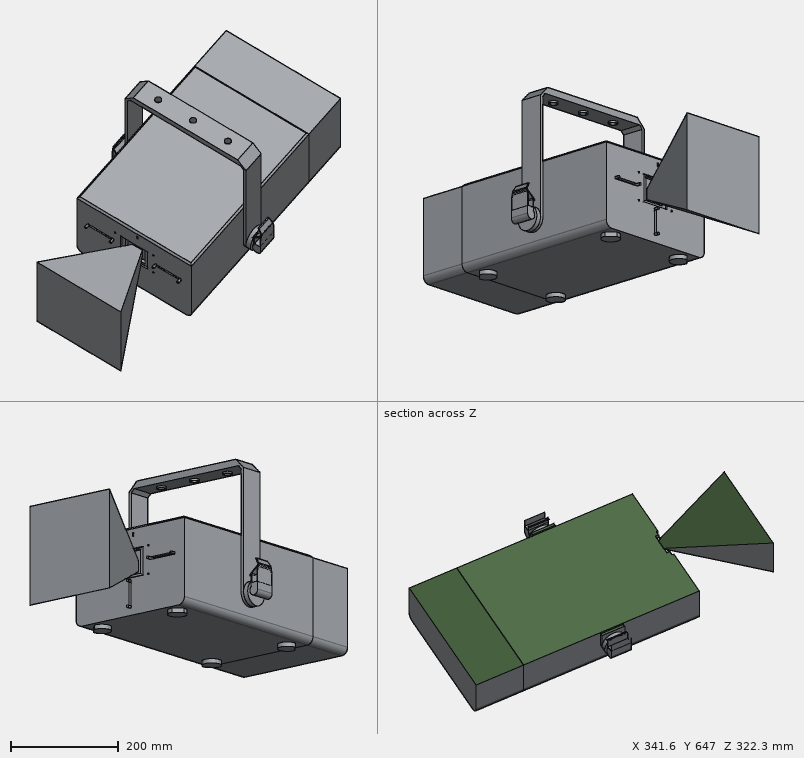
import cadquery as cq
import math


housing_width = 263.0
housing_length = 372.0
housing_height = 170.0
lid_chamfer = 4.0
bottom_radius = 14.0
rear_cover_length = 100.0
rear_cover_height = housing_height - lid_chamfer
front_y = -housing_length / 2
rear_y = housing_length / 2

foot_diameter = 36.6
foot_height = 8.3
foot_flat_distance = 14.5
foot_x = 91.7
foot_y = 159.0

window_z = 100.5
window_width = 62.0
window_height = 55.0
window_depth = 3.5
gate_width = 44.0
gate_height = 47.0
gate_z = window_z + 1.5
gate_depth = 6.5
gate_floor_y = front_y + window_depth + gate_depth

screw_hole_diameter = 3.2
screw_hole_depth = 10.0
screw_spacing_x = 88.0
screw_spacing_z = 55.0
top_slot_length = 7.0
top_slot_x = 7.0
top_slot_z = window_z + 54.5

slot_width = 5.0
slot_depth = 8.0
peg_reach = 8.0
side_slot_z = 102.0
side_slot_inner_x = 49.0
side_slot_outer_x = 106.0
lower_slot_bottom_z = 16.5
lower_slot_top_z = 66.5

beam_width = 193.2
beam_height = 190.7
beam_end_y = -361.0
beam_apex_y = front_y + 34.6

pivot_z = 55.6
yoke_width = 48.0
yoke_outer_x = 139.2
yoke_leg = 6.0
yoke_inner_x = yoke_outer_x - yoke_leg
yoke_top_z = 314.0
yoke_bar = 13.7
yoke_bar_bottom_z = yoke_top_z - yoke_bar
yoke_outer_chamfer = 19.2
yoke_inner_chamfer = 7.0
mount_hole_diameter = 13.0
mount_boss_diameter = 18.0
mount_boss_height = 3.5
mount_spacing = 80.0

disc_diameter = 48.0
disc_outer_x = 149.2
stem_diameter = 9.2
lever_outer_x = 170.8
lever_radius = 9.4
lever_center_x = lever_outer_x - lever_radius
lever_width = 42.0
lever_wall = 2.0
lever_step = 2.8
lever_shoulder_z = pivot_z + 5.0
lever_block_top_z = pivot_z + 15.5
lever_roof_tip_x = 151.2
lever_roof_tip_z = pivot_z + 30.0
lever_bend_z = pivot_z + 51.5
lever_tip_x = 163.6
lever_tip_z = pivot_z + 62.5
lever_tip_width = 31.0
lever_taper_start_z = pivot_z + 36.0


def front_recess(width, height, depth, z, face_y):
    """Box centred on X that runs into the housing from the plane y = face_y."""
    return cq.Workplane("XY").box(width, depth, height).translate((0, face_y + depth / 2, z))


def front_rod(diameter, x, z, start_y, end_y):
    """Round rod along Y between two planes."""
    return (
        cq.Workplane("XZ", origin=(x, start_y, z))
        .circle(diameter / 2)
        .extrude(start_y - end_y)
    )


def cut_slot_with_pegs(body, first, last):
    """Cut a round-ended slot between two (x, z) points and stand a peg at each end."""
    length = math.hypot(last[0] - first[0], last[1] - first[1])
    angle = math.degrees(math.atan2(last[1] - first[1], last[0] - first[0]))
    center_x = (first[0] + last[0]) / 2
    center_z = (first[1] + last[1]) / 2
    slot = (
        cq.Workplane("XZ", origin=(center_x, front_y, center_z))
        .slot2D(length + slot_width, slot_width, angle)
        .extrude(-slot_depth)
    )
    body = body.cut(slot)
    for x, z in (first, last):
        body = body.union(front_rod(slot_width, x, z, front_y + slot_depth, front_y - peg_reach))
    return body


def make_foot(side_x, side_y):
    """Round foot with a flat that faces the nearest corner of the housing."""
    half_chord = math.sqrt((foot_diameter / 2) ** 2 - foot_flat_distance**2)
    foot = (
        cq.Workplane("XY")
        .moveTo(foot_flat_distance, -half_chord)
        .lineTo(foot_flat_distance, half_chord)
        .threePointArc((-foot_diameter / 2, 0), (foot_flat_distance, -half_chord))
        .close()
        .extrude(-foot_height)
    )
    corner_angle = math.degrees(math.atan2(side_y, side_x))
    foot = foot.rotate((0, 0, 0), (0, 0, 1), corner_angle)
    return foot.translate((side_x * foot_x, side_y * foot_y, 0))


def make_housing():
    body = (
        cq.Workplane("XY")
        .box(housing_width, housing_length, housing_height, centered=(True, True, False))
        .edges("|Y and <Z")
        .fillet(bottom_radius)
        .faces(">Z")
        .edges()
        .chamfer(lid_chamfer)
    )
    for side_x in (-1, 1):
        for side_y in (-1, 1):
            body = body.union(make_foot(side_x, side_y))

    body = body.cut(front_recess(window_width, window_height, window_depth, window_z, front_y))
    body = body.cut(front_recess(gate_width, gate_height, gate_depth, gate_z, front_y + window_depth))

    hole_end_y = front_y + screw_hole_depth
    for side_x in (-1, 1):
        for side_z in (-1, 1):
            x = side_x * screw_spacing_x / 2
            z = window_z + side_z * screw_spacing_z / 2
            body = body.cut(front_rod(screw_hole_diameter, x, z, hole_end_y, front_y))
    top_slot = (
        cq.Workplane("XZ", origin=(top_slot_x, front_y, top_slot_z))
        .slot2D(top_slot_length, screw_hole_diameter, 90)
        .extrude(-screw_hole_depth)
    )
    body = body.cut(top_slot)

    for side in (-1, 1):
        inner_end = (side * side_slot_inner_x, side_slot_z)
        outer_end = (side * side_slot_outer_x, side_slot_z)
        body = cut_slot_with_pegs(body, inner_end, outer_end)
    return cut_slot_with_pegs(body, (0, lower_slot_bottom_z), (0, lower_slot_top_z))


def make_rear_cover():
    return (
        cq.Workplane("XY", origin=(0, rear_y, 0))
        .box(housing_width, rear_cover_length, rear_cover_height, centered=(True, False, False))
        .edges("|Y and <Z")
        .fillet(bottom_radius)
    )


def make_beam():
    center_z = beam_height / 2
    tip_scale = (beam_apex_y - gate_floor_y) / (beam_apex_y - beam_end_y)
    return (
        cq.Workplane("XZ", origin=(0, gate_floor_y, center_z))
        .rect(beam_width * tip_scale, beam_height * tip_scale)
        .workplane(offset=gate_floor_y - beam_end_y)
        .rect(beam_width, beam_height)
        .loft(ruled=True)
    )


def yoke_arch(half_width, top_z, chamfer):
    """Arch with cut-off top corners, from the pivot height up, as a block of the yoke's width."""
    return (
        cq.Workplane("XZ")
        .moveTo(-half_width, pivot_z)
        .lineTo(-half_width, top_z - chamfer)
        .lineTo(-half_width + chamfer, top_z)
        .lineTo(half_width - chamfer, top_z)
        .lineTo(half_width, top_z - chamfer)
        .lineTo(half_width, pivot_z)
        .close()
        .extrude(yoke_width / 2, both=True)
    )


def make_yoke():
    outer = yoke_arch(yoke_outer_x, yoke_top_z, yoke_outer_chamfer)
    inner = yoke_arch(yoke_inner_x, yoke_bar_bottom_z, yoke_inner_chamfer)
    body = outer.cut(inner)
    for start_x in (-yoke_outer_x, yoke_inner_x):
        leg_end = (
            cq.Workplane("YZ", origin=(start_x, 0, pivot_z))
            .circle(yoke_width / 2)
            .extrude(yoke_leg)
        )
        body = body.union(leg_end)
    mount_points = [(-mount_spacing, 0), (0, 0), (mount_spacing, 0)]
    bosses = (
        cq.Workplane("XY", origin=(0, 0, yoke_bar_bottom_z))
        .pushPoints(mount_points)
        .circle(mount_boss_diameter / 2)
        .extrude(-mount_boss_height)
    )
    holes = (
        cq.Workplane("XY", origin=(0, 0, yoke_top_z))
        .pushPoints(mount_points)
        .circle(mount_hole_diameter / 2)
        .extrude(-yoke_bar - mount_boss_height)
    )
    return body.union(bosses).cut(holes)


def make_lever():
    """Lever on the +X side: a half-round block that carries a thin bent strip."""
    inner_x = lever_center_x - lever_radius
    inner_wall_x = inner_x + lever_step
    block = (
        cq.Workplane("XZ")
        .moveTo(lever_outer_x, pivot_z)
        .lineTo(lever_outer_x, lever_block_top_z)
        .lineTo(inner_wall_x, lever_block_top_z)
        .lineTo(inner_wall_x, lever_shoulder_z + lever_step)
        .lineTo(inner_x, lever_shoulder_z)
        .lineTo(inner_x, pivot_z)
        .threePointArc((lever_center_x, pivot_z - lever_radius), (lever_outer_x, pivot_z))
        .close()
        .extrude(lever_width / 2, both=True)
    )
    outer_wall_x = lever_outer_x - lever_wall
    slant = lever_wall * math.sqrt(2)
    wall_inside_x = inner_wall_x + lever_wall
    half_slant = slant / 2
    roof_bottom_tip_x = lever_roof_tip_x + half_slant
    roof_bottom_tip_z = lever_roof_tip_z - half_slant
    strip = (
        cq.Workplane("XZ")
        .moveTo(lever_outer_x, lever_block_top_z)
        .lineTo(lever_outer_x, lever_bend_z)
        .lineTo(lever_tip_x, lever_tip_z)
        .lineTo(lever_tip_x - slant, lever_tip_z)
        .lineTo(outer_wall_x, lever_bend_z - half_slant)
        .lineTo(outer_wall_x, lever_roof_tip_z + outer_wall_x - lever_roof_tip_x)
        .lineTo(lever_roof_tip_x, lever_roof_tip_z)
        .lineTo(roof_bottom_tip_x, roof_bottom_tip_z)
        .lineTo(inner_wall_x, roof_bottom_tip_z + inner_wall_x - roof_bottom_tip_x)
        .lineTo(inner_wall_x, lever_block_top_z)
        .lineTo(wall_inside_x, lever_block_top_z)
        .lineTo(wall_inside_x, roof_bottom_tip_z + wall_inside_x - roof_bottom_tip_x)
        .lineTo(outer_wall_x, roof_bottom_tip_z + outer_wall_x - roof_bottom_tip_x)
        .lineTo(outer_wall_x, lever_block_top_z)
        .close()
        .extrude(lever_width / 2, both=True)
    )
    side_outline = (
        cq.Workplane("YZ")
        .moveTo(-lever_width / 2, pivot_z - lever_radius)
        .lineTo(-lever_width / 2, lever_taper_start_z)
        .lineTo(-lever_tip_width / 2, lever_tip_z)
        .lineTo(lever_tip_width / 2, lever_tip_z)
        .lineTo(lever_width / 2, lever_taper_start_z)
        .lineTo(lever_width / 2, pivot_z - lever_radius)
        .close()
        .extrude(lever_outer_x)
    )
    return block.union(strip).intersect(side_outline)


def make_knob(side):
    """Clamp knob on the +X side (side = 1) or the -X side (side = -1)."""
    disc = (
        cq.Workplane("YZ", origin=(yoke_outer_x, 0, pivot_z))
        .circle(disc_diameter / 2)
        .extrude(disc_outer_x - yoke_outer_x)
    )
    stem = (
        cq.Workplane("YZ", origin=(disc_outer_x, 0, pivot_z))
        .circle(stem_diameter / 2)
        .extrude(lever_center_x - disc_outer_x)
    )
    knob = disc.union(stem).union(make_lever())
    if side < 0:
        knob = knob.mirror("YZ")
    return knob


housing = make_housing()
rear_cover = make_rear_cover()
beam = make_beam()
yoke = make_yoke()
knobs = [make_knob(side) for side in (-1, 1)]

result = cq.Compound.makeCompound(
    [housing.val(), rear_cover.val(), beam.val(), yoke.val()] + [knob.val() for knob in knobs]
)